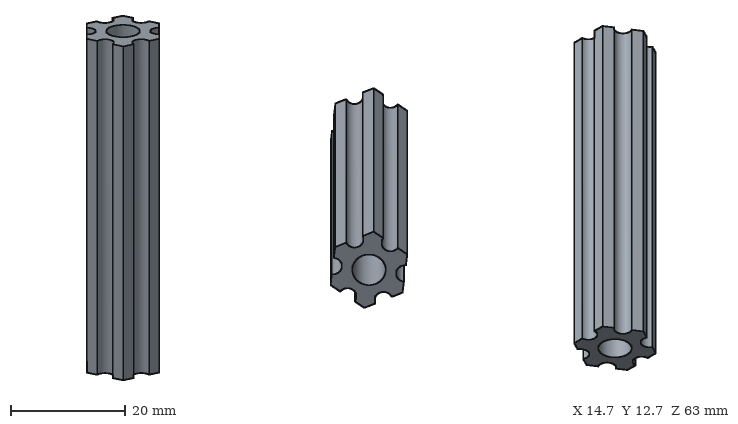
import cadquery as cq
import math

length = 63.0
across_flats = 12.7
bore_diameter = 5.85
groove_diameter = 3.15
side_count = 6

side_angle = 360 / side_count
across_corners = across_flats / math.cos(math.radians(side_angle / 2))

bar = cq.Workplane("XY").polygon(side_count, across_corners).extrude(length)

bore = cq.Workplane("XY").circle(bore_diameter / 2).extrude(length)

grooves = (
    cq.Workplane("XY")
    .polarArray(across_flats / 2, side_angle / 2, 360, side_count)
    .circle(groove_diameter / 2)
    .extrude(length)
)

result = bar.cut(bore).cut(grooves)